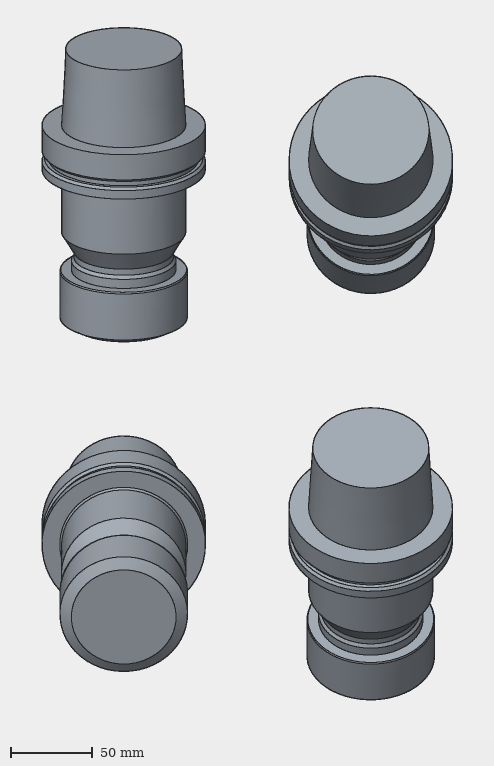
import cadquery as cq

shank_top_diameter = 71.0
body_diameter = 76.0
flange_diameter = 100.0
groove_diameter = 91.9
neck_diameter = 61.0
lip_diameter = 64.0
nut_diameter = 78.0
nut_end_diameter = 64.0

total_height = 179.8
flange_top = 129.9
groove_top = 111.7
groove_bottom = 107.9
flange_bottom = 100.7
body_bottom = 59.9
neck_top = 47.1
neck_bottom = 43.2
lip_edge = 41.0
nut_top = 35.0
nut_bevel_top = 4.0

groove_bevel = 1.6
collar_width = 1.0
collar_height = 1.5
nut_top_bevel_width = 0.5
nut_top_bevel_height = 0.9

profile = [
    (0, 0),
    (nut_end_diameter / 2, 0),
    (nut_diameter / 2, nut_bevel_top),
    (nut_diameter / 2, nut_top - nut_top_bevel_height),
    (nut_diameter / 2 - nut_top_bevel_width, nut_top),
    (lip_diameter / 2, nut_top),
    (lip_diameter / 2, lip_edge),
    (neck_diameter / 2, neck_bottom),
    (neck_diameter / 2, neck_top),
    (body_diameter / 2, body_bottom),
    (body_diameter / 2, flange_bottom - collar_height),
    (body_diameter / 2 + collar_width, flange_bottom),
    (flange_diameter / 2, flange_bottom),
    (flange_diameter / 2, groove_bottom - groove_bevel),
    (flange_diameter / 2 - groove_bevel, groove_bottom),
    (groove_diameter / 2, groove_bottom),
    (groove_diameter / 2, groove_top),
    (flange_diameter / 2 - groove_bevel, groove_top),
    (flange_diameter / 2, groove_top + groove_bevel),
    (flange_diameter / 2, flange_top),
    (body_diameter / 2, flange_top),
    (shank_top_diameter / 2, total_height),
    (0, total_height),
]

result = cq.Workplane("XZ").polyline(profile).close().revolve(360, (0, 0), (0, 1))